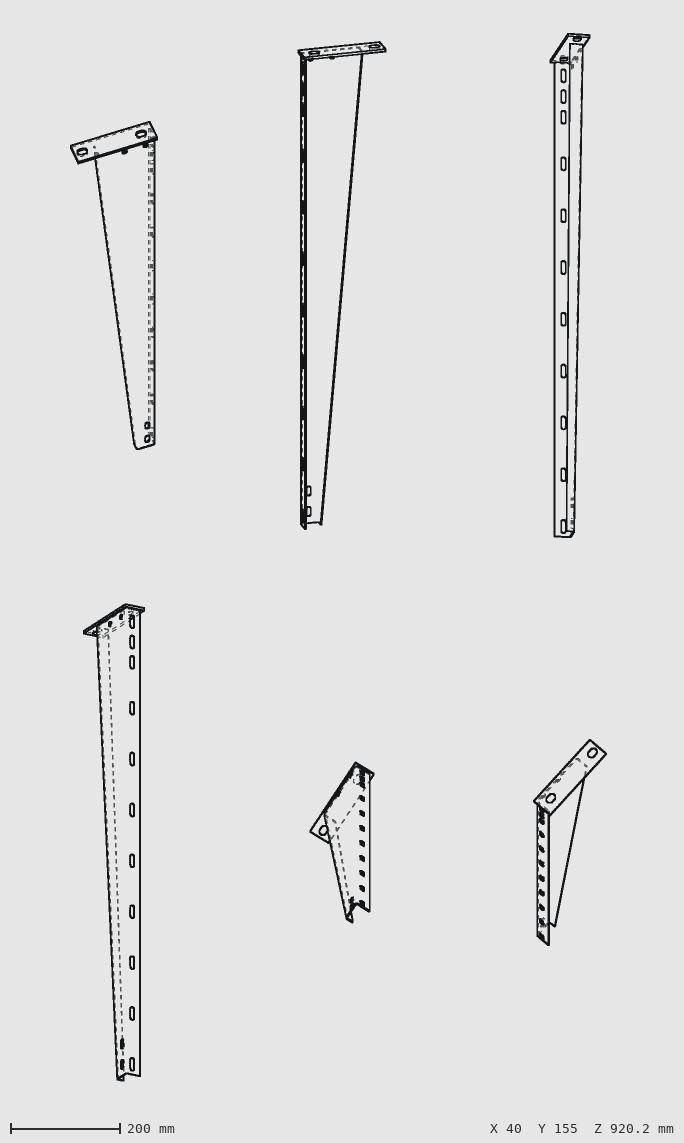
import cadquery as cq
import math

PLATE_WIDTH = 40.0
PLATE_LENGTH = 155.0
PLATE_THICKNESS = 5.0
PLATE_SLOT_WIDTH = 13.0
PLATE_SLOT_LENGTH = 19.0
PLATE_SLOT_PITCH = 115.0
PLATE_SLOT_FROM_FRONT = 15.5

ARM_HEIGHT = 915.0
ARM_WIDTH = 30.0
ARM_DEPTH_TOP = 112.0
ARM_DEPTH_BOTTOM = 36.25
SHEET = 2.2
INNER_BEND_RADIUS = 2.0
ARM_RIGHT_INSET = 3.0
ARM_BACK_INSET = 3.0
FRONT_FLANGE_WIDTH_TOP = 25.0
FRONT_FLANGE_WIDTH_BOTTOM = 15.0

WEB_SLOT_WIDTH = 8.5
WEB_SLOT_LENGTH = 18.0
WEB_SLOT_FROM_BACK = 15.5
WEB_SLOT_HEIGHTS = (22.5, 62.5)
WEB_HOLE_DIAMETER = 9.0
WEB_HOLES_FROM_BACK = (19.0, 60.0)
WEB_HOLE_BELOW_PLATE = 12.0
BACK_SLOT_WIDTH = 8.5
BACK_SLOT_LENGTH = 25.0
BACK_SLOT_FROM_LEFT = 16.5
BACK_SLOT_LOWEST = 20.0
BACK_SLOT_PITCH = 100.0
BACK_SLOT_COUNT = 8
TOP_SLOT_LOWEST = 810.0
TOP_SLOT_PITCH = 40.0
TOP_SLOT_COUNT = 3

arm_right = PLATE_WIDTH / 2 - ARM_RIGHT_INSET
arm_left = arm_right - ARM_WIDTH
arm_back = PLATE_LENGTH / 2 - ARM_BACK_INSET
taper = math.atan((ARM_DEPTH_TOP - ARM_DEPTH_BOTTOM) / ARM_HEIGHT)

inner_front_bottom = arm_back - ARM_DEPTH_BOTTOM + SHEET / math.cos(taper)
inner_front_top = arm_back - ARM_DEPTH_TOP + SHEET / math.cos(taper)

flange_run = SHEET * math.cos(taper)
flange_drop = SHEET * math.sin(taper)


def side_prism(points, x_right, bend_radius):
    """Side outline (Y, Z) extruded from the arm's open side to x_right, with rounded bends there."""
    bend_edges = cq.selectors.BoxSelector(
        (x_right - SHEET, -PLATE_LENGTH, SHEET),
        (x_right + SHEET, PLATE_LENGTH, ARM_HEIGHT - SHEET),
    )
    return (
        cq.Workplane("YZ", origin=(arm_left, 0, 0))
        .polyline(points)
        .close()
        .extrude(x_right - arm_left)
        .faces(">X")
        .edges(bend_edges)
        .fillet(bend_radius)
    )


def make_channel():
    outer_outline = [
        (arm_back, 0),
        (arm_back, ARM_HEIGHT),
        (inner_front_top, ARM_HEIGHT),
        (inner_front_top - flange_run, ARM_HEIGHT - flange_drop),
        (inner_front_bottom - flange_run, -flange_drop),
        (inner_front_bottom, 0),
    ]
    inner_outline = [
        (arm_back - SHEET, 0),
        (arm_back - SHEET, ARM_HEIGHT),
        (inner_front_top, ARM_HEIGHT),
        (inner_front_bottom, 0),
    ]
    outside = side_prism(outer_outline, arm_right, INNER_BEND_RADIUS + SHEET)
    inside = side_prism(inner_outline, arm_right - SHEET, INNER_BEND_RADIUS)
    return outside.cut(inside)


def front_flange_trim():
    """Wedge that narrows the front flange from top to bottom, in front of the back flange."""
    gap_top = ARM_WIDTH - FRONT_FLANGE_WIDTH_TOP
    gap_bottom = ARM_WIDTH - FRONT_FLANGE_WIDTH_BOTTOM
    return (
        cq.Workplane("XZ", origin=(arm_left, arm_back - SHEET, 0))
        .polyline([
            (0, -SHEET),
            (gap_bottom, -SHEET),
            (gap_bottom, 0),
            (gap_top, ARM_HEIGHT),
            (0, ARM_HEIGHT),
        ])
        .close()
        .extrude(PLATE_LENGTH)
    )


def web_slots():
    return (
        cq.Workplane("YZ", origin=(arm_right - SHEET, arm_back - WEB_SLOT_FROM_BACK, 0))
        .pushPoints([(0, height) for height in WEB_SLOT_HEIGHTS])
        .slot2D(WEB_SLOT_LENGTH, WEB_SLOT_WIDTH, 90)
        .extrude(SHEET)
    )


def web_holes():
    return (
        cq.Workplane("YZ", origin=(arm_right - SHEET, arm_back, ARM_HEIGHT - WEB_HOLE_BELOW_PLATE))
        .pushPoints([(-distance, 0) for distance in WEB_HOLES_FROM_BACK])
        .circle(WEB_HOLE_DIAMETER / 2)
        .extrude(SHEET)
    )


def back_slots():
    heights = [BACK_SLOT_LOWEST + BACK_SLOT_PITCH * i for i in range(BACK_SLOT_COUNT)]
    heights += [TOP_SLOT_LOWEST + TOP_SLOT_PITCH * i for i in range(TOP_SLOT_COUNT)]
    return (
        cq.Workplane("XZ", origin=(arm_left + BACK_SLOT_FROM_LEFT, arm_back, 0))
        .pushPoints([(0, height) for height in heights])
        .slot2D(BACK_SLOT_LENGTH, BACK_SLOT_WIDTH, 90)
        .extrude(SHEET)
    )


def make_arm():
    channel = make_channel().cut(front_flange_trim())
    return channel.cut(web_slots()).cut(web_holes()).cut(back_slots())


def make_head_plate():
    front_slot_y = -PLATE_LENGTH / 2 + PLATE_SLOT_FROM_FRONT
    slots = (
        cq.Workplane("XY", origin=(0, front_slot_y, ARM_HEIGHT))
        .pushPoints([(0, 0), (0, PLATE_SLOT_PITCH)])
        .slot2D(PLATE_SLOT_LENGTH, PLATE_SLOT_WIDTH, 90)
        .extrude(PLATE_THICKNESS)
    )
    return (
        cq.Workplane("XY", origin=(0, 0, ARM_HEIGHT))
        .rect(PLATE_WIDTH, PLATE_LENGTH)
        .extrude(PLATE_THICKNESS)
        .cut(slots)
    )


arm = make_arm()
head_plate = make_head_plate()
result = cq.Compound.makeCompound([arm.val(), head_plate.val()])